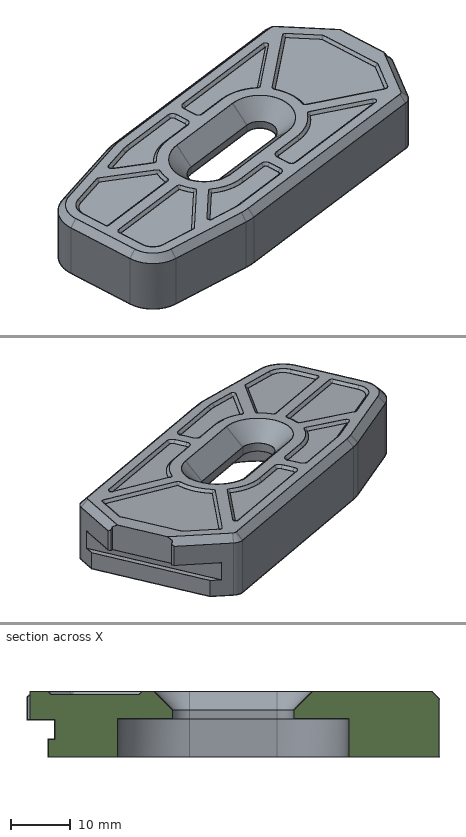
import cadquery as cq
import math

width = 30.55
length = 68.95
height = 11.0
top_chamfer = 1.25
end_half_width = 6.25
rear_corner_y = 28.1
rear_corner_radius = 2.0
taper_start_y = -13.6
taper_angle = 10.5
taper_blend_radius = 10.0
front_corner_radius = 6.0

relief_width = 11.4
relief_depth = 0.47
groove_depth = 4.6
groove_floor_z = 3.0
groove_top_z = 6.2
foot_setback = 3.5

wall_taper = 45

slot_centre_y = 7.3
slot_width = 5.7
countersink_depth = 3.1
recess_width = 24.0
recess_height = 6.4

pocket_depth = 0.5
pocket_corner_radius = 0.52
square_corner_radius = 1.0
ring_diameter = 17.0
floor_inset = 3.5
rib_width = 2.0
rear_rib_angle = 57.4
front_rib_angle = 52.3

half_width = width / 2
half_length = length / 2
through = 2 * length


def body_outline():
    taper_run = (half_length + taper_start_y) * math.tan(math.radians(taper_angle))
    front_half_width = half_width - taper_run
    right_side = [
        (front_half_width, -half_length),
        (half_width, taper_start_y),
        (half_width, rear_corner_y),
        (end_half_width, half_length),
    ]
    left_side = [(-x, y) for x, y in reversed(right_side)]
    return cq.Workplane("XY").polyline(right_side + left_side).close()


def corner_edges(block, y):
    """Upright edges within a short reach of the given Y."""
    near = 0.1
    return block.edges(cq.selectors.BoxSelector(
        (-width, y - near, -near), (width, y + near, height + near)
    )).edges("|Z")


def rounded_block():
    block = body_outline().extrude(height)
    for y, radius in (
        (-half_length, front_corner_radius),
        (taper_start_y, taper_blend_radius),
        (rear_corner_y, rear_corner_radius),
    ):
        block = corner_edges(block, y).fillet(radius)
    return block


def cross_bar(y_start, y_end, z_start, z_end, bar_width=through):
    return cq.Workplane("XY").box(
        bar_width, y_end - y_start, z_end - z_start, centered=(True, False, False)
    ).translate((0, y_start, z_start))


def shape_rear_end(block):
    relief = cross_bar(half_length - relief_depth, through, 0, height, relief_width)
    groove = cross_bar(half_length - groove_depth, through, groove_floor_z, groove_top_z)
    foot_cut = cross_bar(half_length - foot_setback, through, 0, groove_floor_z)
    return block.cut(relief).cut(groove).cut(foot_cut)


def slot_block(diameter, depth, taper=0):
    """Slot-shaped cutter reaching down from the top face, narrowing by the taper angle."""
    return (
        cq.Workplane("XY", origin=(0, 0, height))
        .slot2D(2 * slot_centre_y + diameter, diameter, 90)
        .extrude(-depth, taper=taper)
    )


def cut_slot(block):
    recess = slot_block(recess_width, height).translate((0, 0, recess_height - height))
    countersink = slot_block(slot_width + 2 * countersink_depth, countersink_depth, wall_taper)
    return block.cut(slot_block(slot_width, height)).cut(countersink).cut(recess)


def rib(angle, start_y, rib_block_width):
    """Full-height bar running outwards from (0, start_y) at an angle from the X axis."""
    return (
        cq.Workplane("XY")
        .box(through, rib_block_width, height, centered=(False, True, False))
        .rotate((0, 0, 0), (0, 0, 1), angle)
        .translate((0, start_y, 0))
    )


def pocket_cores(block):
    """One block per pocket, smaller than the pocket mouth by the corner radius all round."""
    growth = pocket_corner_radius
    inset = floor_inset - pocket_depth + growth
    core = block.faces("<Z").wires().toPending().offset2D(-inset).extrude(height, combine=False)
    rear_wall_y = half_length - relief_depth - inset
    core = core.cut(cross_bar(rear_wall_y, through, 0, height))
    core = core.cut(slot_block(ring_diameter + 2 * (growth - pocket_depth), height))
    core_rib_width = rib_width + 2 * growth
    for angle in (rear_rib_angle, 180 - rear_rib_angle):
        core = core.cut(rib(angle, slot_centre_y, core_rib_width))
    for angle in (-front_rib_angle, front_rib_angle - 180, -90):
        core = core.cut(rib(angle, -slot_centre_y, core_rib_width))
    for angle in (0, 180):
        core = core.cut(rib(angle, 0, core_rib_width))
    for y in (-core_rib_width / 2, core_rib_width / 2):
        core = corner_edges(core, y).fillet(square_corner_radius - pocket_corner_radius)
    return core.solids().vals()


def pocket_cutter(core):
    """Block with sloping walls, widest at the top face; its convex corners are rounded."""
    mouth = cq.Workplane(core).faces(">Z").wires().toPending().offset2D(pocket_corner_radius)
    return mouth.extrude(-pocket_depth, taper=wall_taper, combine=False)


block = rounded_block()
result = block.faces(">Z").edges("not >Y").chamfer(top_chamfer)
result = shape_rear_end(result)
result = cut_slot(result)
for core in pocket_cores(block):
    result = result.cut(pocket_cutter(core))